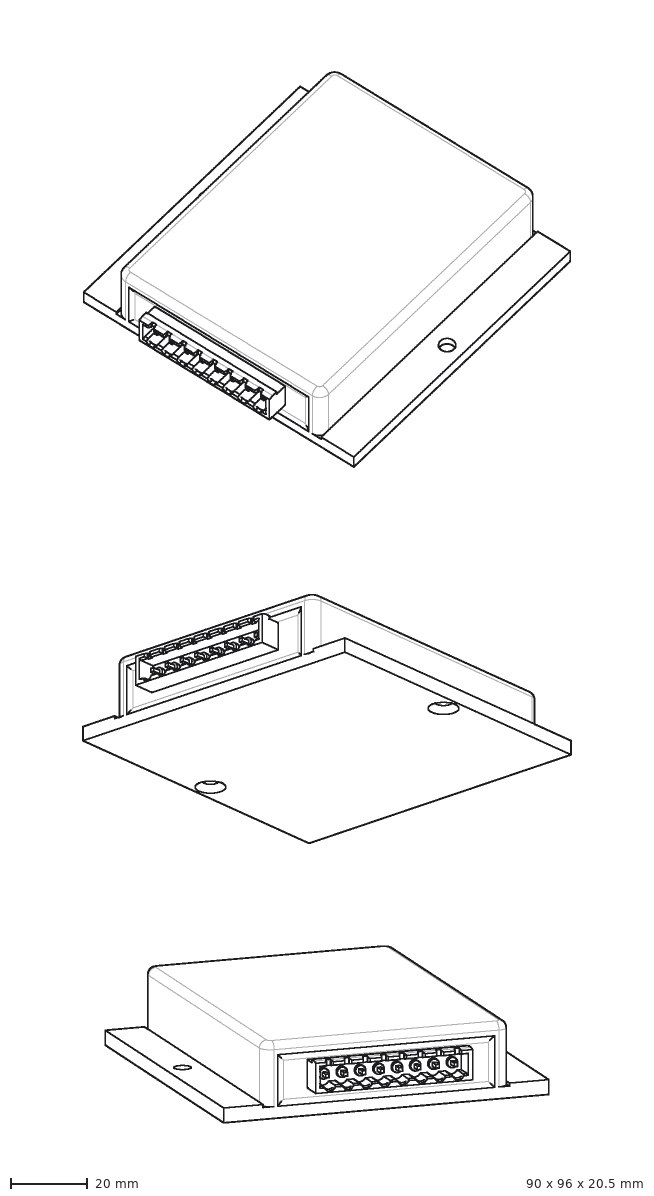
import cadquery as cq
import math

PLATE_SIZE = 90.0
PLATE_THICKNESS = 4.0
SEAT_DEPTH = 0.8
HOLE_DIAMETER = 4.5
HOLE_SPACING = 80.0
COUNTERSINK_DIAMETER = 8.0
COUNTERSINK_ANGLE = 90.0

TOTAL_HEIGHT = 20.5
COVER_WIDTH = 68.2
COVER_CORNER_RADIUS = 3.0
COVER_TOP_RADIUS = 2.0
COVER_BASE_Z = PLATE_THICKNESS - SEAT_DEPTH
FRONT_Y = -PLATE_SIZE / 2

RECESS_WIDTH = 60.0
RECESS_TOP_Z = 17.0
RECESS_WALL_RADIUS = 3.0
RECESS_DEPTH = 0.5

PIN_COUNT = 8
PIN_PITCH = 5.08
SHELL_WIDTH = 43.4
SHELL_BOTTOM_Z = 7.3
SHELL_TOP_Z = 14.9
SHELL_PROTRUSION = 6.0
SHELL_FRONT_Y = FRONT_Y - SHELL_PROTRUSION
LIP_TOP_Z = 15.75
LIP_LENGTH = 3.0
LIP_BEVEL_LENGTH = 1.4
LIP_BEVEL_DROP = 0.35

SIDE_WALL = 1.2
SOCKET_FLOOR_Z = 8.9
SOCKET_ROOF_Z = 14.2
SOCKET_DEPTH = 5.5
SOCKET_BACK_Y = SHELL_FRONT_Y + SOCKET_DEPTH
KEY_SLOT_WIDTH = 1.3
KEY_SLOT_LENGTH = LIP_BEVEL_LENGTH
GROOVE_BOTTOM_Z = 7.95
GROOVE_WIDTH = 3.2

FLARE_LENGTH = 0.9
FLARE_RISE = 0.3
FLARE_DIP_WIDTH = 1.4

CONTACT_Z = 11.2
SLEEVE_DIAMETER = 2.8
SLEEVE_LENGTH = 1.0
PIN_SIDE = 1.0
PIN_LENGTH = 3.5

PIN_POSITIONS = [(i - (PIN_COUNT - 1) / 2) * PIN_PITCH for i in range(PIN_COUNT)]


def box_between(x_range, y_range, z_range):
    """Axis-aligned box given by its limits along each axis."""
    (x0, x1), (y0, y1), (z0, z1) = x_range, y_range, z_range
    return cq.Workplane("XY").box(x1 - x0, y1 - y0, z1 - z0, centered=False).translate((x0, y0, z0))


def centred_range(width, centre=0.0):
    return centre - width / 2, centre + width / 2


def make_plate():
    plate = cq.Workplane("XY").box(PLATE_SIZE, PLATE_SIZE, PLATE_THICKNESS, centered=(True, True, False))
    seat = box_between(
        centred_range(COVER_WIDTH), centred_range(PLATE_SIZE), (COVER_BASE_Z, PLATE_THICKNESS)
    )
    drilled = (
        plate.faces("<Z")
        .workplane()
        .pushPoints([(-HOLE_SPACING / 2, 0), (HOLE_SPACING / 2, 0)])
        .cskHole(HOLE_DIAMETER, COUNTERSINK_DIAMETER, COUNTERSINK_ANGLE)
    )
    return drilled.cut(seat)


def make_recess():
    """Dished cutter: a block with rounded floor edges, sunk only part of its fillet radius."""
    curve_run = math.sqrt(RECESS_WALL_RADIUS**2 - (RECESS_WALL_RADIUS - RECESS_DEPTH) ** 2)
    overhang = RECESS_WALL_RADIUS - curve_run
    outside_length = RECESS_WALL_RADIUS
    block = box_between(
        centred_range(RECESS_WIDTH + 2 * overhang),
        (FRONT_Y - outside_length, FRONT_Y + RECESS_DEPTH),
        (COVER_BASE_Z - overhang, RECESS_TOP_Z + overhang),
    )
    return block.faces(">Y").edges().fillet(RECESS_WALL_RADIUS)


def make_cover():
    cover = (
        cq.Workplane("XY", origin=(0, 0, COVER_BASE_Z))
        .box(COVER_WIDTH, PLATE_SIZE, TOTAL_HEIGHT - COVER_BASE_Z, centered=(True, True, False))
        .edges("|Z")
        .fillet(COVER_CORNER_RADIUS)
        .faces(">Z")
        .edges()
        .fillet(COVER_TOP_RADIUS)
    )
    return cover.cut(make_recess())


def make_shell():
    """Connector body with the raised, bevelled lip on its roof."""
    lip_back_y = SHELL_FRONT_Y + LIP_LENGTH
    bevel_y = SHELL_FRONT_Y + LIP_BEVEL_LENGTH
    back_y = FRONT_Y + RECESS_DEPTH
    profile = [
        (back_y, SHELL_BOTTOM_Z),
        (SHELL_FRONT_Y, SHELL_BOTTOM_Z),
        (SHELL_FRONT_Y, LIP_TOP_Z - LIP_BEVEL_DROP),
        (bevel_y, LIP_TOP_Z),
        (lip_back_y, LIP_TOP_Z),
        (lip_back_y, SHELL_TOP_Z),
        (back_y, SHELL_TOP_Z),
    ]
    return cq.Workplane("YZ").polyline(profile).close().extrude(SHELL_WIDTH / 2, both=True)


def make_socket():
    """Space inside the shell: main opening, key slots above and grooves below each contact."""
    socket = box_between(
        centred_range(SHELL_WIDTH - 2 * SIDE_WALL),
        (SHELL_FRONT_Y, SOCKET_BACK_Y),
        (SOCKET_FLOOR_Z, SOCKET_ROOF_Z),
    )
    for x in PIN_POSITIONS:
        key_slot = box_between(
            centred_range(KEY_SLOT_WIDTH, x),
            (SHELL_FRONT_Y, SHELL_FRONT_Y + KEY_SLOT_LENGTH),
            (SOCKET_ROOF_Z, LIP_TOP_Z),
        )
        groove = (
            cq.Workplane("XZ", origin=(x, SHELL_FRONT_Y, 0))
            .moveTo(-GROOVE_WIDTH / 2, SOCKET_FLOOR_Z)
            .threePointArc((0, GROOVE_BOTTOM_Z), (GROOVE_WIDTH / 2, SOCKET_FLOOR_Z))
            .close()
            .extrude(-SOCKET_DEPTH)
        )
        socket = socket.union(key_slot).union(groove)
    return socket


def flare_outline(y, widening):
    """Mouth outline at depth y: flat roof, and a floor that dips under every contact."""
    half_width = SHELL_WIDTH / 2 - SIDE_WALL
    roof_z = SOCKET_ROOF_Z + widening
    land_z = SOCKET_FLOOR_Z - widening
    dip_z = GROOVE_BOTTOM_Z - widening
    points = [(half_width, roof_z), (-half_width, roof_z), (-half_width, land_z)]
    for x in PIN_POSITIONS:
        points += [
            (x - GROOVE_WIDTH / 2, land_z),
            (x - FLARE_DIP_WIDTH / 2, dip_z),
            (x + FLARE_DIP_WIDTH / 2, dip_z),
            (x + GROOVE_WIDTH / 2, land_z),
        ]
    points.append((half_width, land_z))
    return cq.Wire.makePolygon([cq.Vector(x, y, z) for x, z in points], close=True)


def slot_outline(x, y, widening):
    """Key slot cross-section at depth y, widened on both sides."""
    half_width = KEY_SLOT_WIDTH / 2 + widening
    corners = [
        (x - half_width, SOCKET_ROOF_Z),
        (x + half_width, SOCKET_ROOF_Z),
        (x + half_width, LIP_TOP_Z),
        (x - half_width, LIP_TOP_Z),
    ]
    return cq.Wire.makePolygon([cq.Vector(px, y, pz) for px, pz in corners], close=True)


def make_flare():
    """Tapered lead-in around the socket mouth and the key slots."""
    inner_y = SHELL_FRONT_Y + FLARE_LENGTH
    mouth = cq.Solid.makeLoft(
        [flare_outline(SHELL_FRONT_Y, FLARE_RISE), flare_outline(inner_y, 0)], ruled=True
    )
    flare = cq.Workplane(mouth)
    for x in PIN_POSITIONS:
        slot = cq.Solid.makeLoft(
            [slot_outline(x, SHELL_FRONT_Y, FLARE_RISE), slot_outline(x, inner_y, 0)], ruled=True
        )
        flare = flare.union(cq.Workplane(slot))
    return flare


def make_contacts():
    """Sleeve with a square pin at its centre, repeated at every contact position."""
    start = cq.Workplane("XZ", origin=(0, SOCKET_BACK_Y, CONTACT_Z))
    places = [(x, 0) for x in PIN_POSITIONS]
    sleeves = start.pushPoints(places).circle(SLEEVE_DIAMETER / 2).extrude(SLEEVE_LENGTH)
    pins = start.pushPoints(places).rect(PIN_SIDE, PIN_SIDE).extrude(PIN_LENGTH)
    return sleeves.union(pins)


housing = make_plate().union(make_cover())
connector = make_shell()
result = housing.union(connector).cut(make_socket()).cut(make_flare()).union(make_contacts())